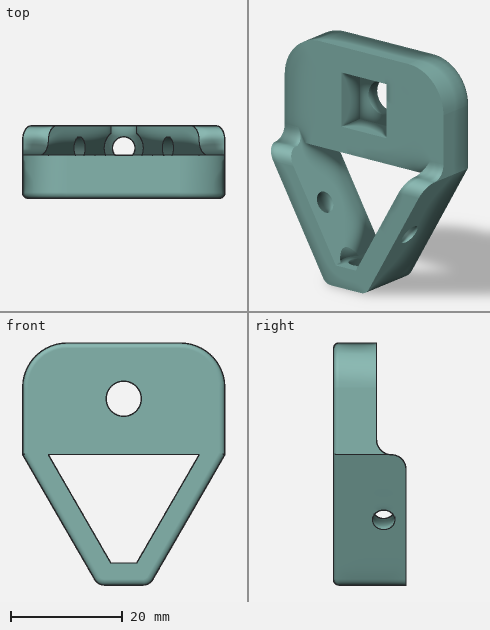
import cadquery as cq
import math

SLOPE = math.radians(60)

width = 36.23
depth = 13.0
height = 43.38
shoulder_z = -20.0
top_corner_radius = 8.0
foot_corner_radius = 2.0
front_edge_radius = 1.0
plate_depth = 7.75
step_radius = (depth - plate_depth) / 2

wall = 4.0
foot_z = -height
floor_z = foot_z + wall

mount_hole_diameter = 6.25
mount_hole_z = -10.0
mount_hole_land = 2.5
square_recess_width = 10.25
screw_hole_diameter = 4.0
screw_hole_rear_inset = 4.0
screw_hole_y = depth - screw_hole_rear_inset
screw_head_diameter = 7.0


def outer_half_width(z):
    """Half width of the outer taper at level z."""
    return width / 2 - (shoulder_z - z) / math.tan(SLOPE)


def inner_half_width(z):
    """Half width of the window taper at level z."""
    return outer_half_width(z) - wall / math.sin(SLOPE)


def mirrored_prism(half_profile, start_y, end_y):
    """Extrude an XZ outline, given as its +X half from bottom to top, along Y."""
    left_half = [(-x, z) for x, z in reversed(half_profile)]
    return (
        cq.Workplane("XZ", origin=(0, start_y, 0))
        .polyline(half_profile + left_half)
        .close()
        .extrude(start_y - end_y)
    )


def make_body():
    """Full-depth block with rounded corners and a rounded front edge."""
    outline = [
        (outer_half_width(foot_z), foot_z),
        (width / 2, shoulder_z),
        (width / 2, 0),
    ]
    body = mirrored_prism(outline, 0, depth)
    body = body.edges("|Y and >Z").fillet(top_corner_radius)
    body = body.edges("|Y and <Z").fillet(foot_corner_radius)
    return body.faces("<Y").edges().fillet(front_edge_radius)


def make_rear_step():
    """Space behind the upper plate, bounded below by an S-shaped step."""
    middle_y = plate_depth + step_radius
    return (
        cq.Workplane("YZ", origin=(-width / 2, 0, 0))
        .moveTo(plate_depth, 0)
        .lineTo(plate_depth, shoulder_z + step_radius)
        .radiusArc((middle_y, shoulder_z), -step_radius)
        .radiusArc((depth, shoulder_z - step_radius), step_radius)
        .lineTo(depth, 0)
        .close()
        .extrude(width)
    )


def make_window():
    """Tapered opening, carried on upwards through the step behind the plate."""
    step_top_z = shoulder_z + step_radius
    opening = mirrored_prism(
        [(inner_half_width(floor_z), floor_z), (inner_half_width(shoulder_z), shoulder_z)],
        0,
        depth,
    )
    behind_plate = mirrored_prism(
        [(inner_half_width(shoulder_z), shoulder_z), (inner_half_width(step_top_z), step_top_z)],
        plate_depth,
        depth,
    )
    return opening.union(behind_plate)


def make_mount_hole():
    """Round hole through the plate with a square recess from the rear."""
    hole = (
        cq.Workplane("XZ", origin=(0, 0, mount_hole_z))
        .circle(mount_hole_diameter / 2)
        .extrude(-plate_depth)
    )
    recess = (
        cq.Workplane("XZ", origin=(0, mount_hole_land, mount_hole_z))
        .rect(square_recess_width, square_recess_width)
        .extrude(mount_hole_land - plate_depth)
    )
    return hole.union(recess)


def cylinder(diameter, length, base, direction):
    """Solid cylinder from a base point along a direction."""
    return cq.Workplane(cq.Solid.makeCylinder(diameter / 2, length, base, direction))


def make_foot_hole():
    """Vertical screw hole through the foot, with head clearance cut into the arms."""
    up = cq.Vector(0, 0, 1)
    shank = cylinder(screw_hole_diameter, wall, cq.Vector(0, screw_hole_y, foot_z), up)
    head_length = shoulder_z - floor_z
    head = cylinder(screw_head_diameter, head_length, cq.Vector(0, screw_hole_y, floor_z), up)
    return shank.union(head)


def make_arm_hole(side):
    """Screw hole square to one arm, at mid height of its outer face."""
    middle_z = (shoulder_z + foot_z) / 2
    inward = cq.Vector(-side * math.sin(SLOPE), 0, math.cos(SLOPE))
    outer_point = cq.Vector(side * outer_half_width(middle_z), screw_hole_y, middle_z)
    return cylinder(screw_hole_diameter, 2 * wall, outer_point - inward * wall / 2, inward)


result = make_body().cut(make_rear_step()).cut(make_window())
result = result.cut(make_mount_hole()).cut(make_foot_hole())
for side in (-1, 1):
    result = result.cut(make_arm_hole(side))